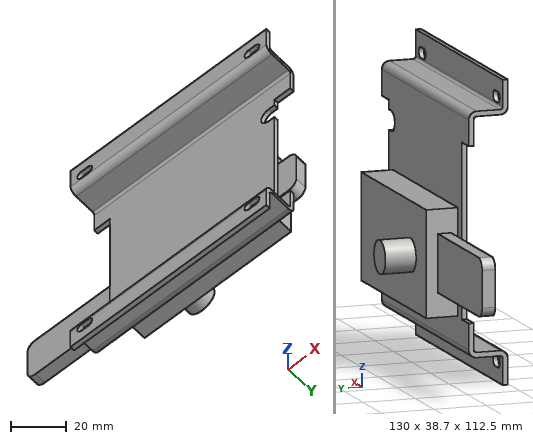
import cadquery as cq

total_length = 130.0
total_depth = 38.7
total_height = 112.5

sheet = 2.0
bend_outer = 3.0
bend_inner = bend_outer - sheet
bracket_left = 36.0
bracket_width = total_length - bracket_left
bracket_depth = 15.0
web_outer = 45.4
half_height = total_height / 2
web_inner = web_outer - sheet
corner_reach = sheet / 4

side_recess = 7.5
recess_half_height = 32.6
slot_length = 7.2
slot_height = 4.0
slot_inset = 6.9
slot_z = 48.8
notch_radius = 3.8
notch_depth = 6.4
notch_z = 25.4

latch_z = -12.2
box_left = 47.8
box_width = 70.3
box_height = 39.9
box_depth = 12.1
bar_length = 129.0
bar_height = 21.7
bar_thickness = 5.1
bar_front = 17.5
bar_corner = 3.9
knob_x = 65.0
knob_diameter = 12.5


def make_box(x, y, z, width, depth, height):
    """Box from its left end, front face and bottom."""
    return cq.Workplane("XY").box(width, depth, height, centered=False).translate((x, y, z))


def make_upper_half():
    """Bent sheet from mid height up to the top lip, without cut-outs."""
    back = bracket_depth
    front = back - sheet
    half = (
        cq.Workplane("YZ")
        .moveTo(front, 0)
        .lineTo(front, web_inner)
        .lineTo(0, web_inner)
        .lineTo(0, half_height)
        .lineTo(sheet, half_height)
        .lineTo(sheet, web_outer)
        .lineTo(back, web_outer)
        .lineTo(back, 0)
        .close()
        .extrude(bracket_width)
        .translate((bracket_left, 0, 0))
    )
    for y, z, radius in (
        (front, web_inner, bend_inner),
        (back, web_outer, bend_outer),
        (sheet, web_outer, bend_inner),
        (0, web_inner, bend_outer),
    ):
        corner = cq.selectors.BoxSelector(
            (bracket_left, y - corner_reach, z - corner_reach),
            (total_length, y + corner_reach, z + corner_reach),
        )
        half = half.edges("|X").edges(corner).fillet(radius)
    return half


def make_bracket():
    upper_half = make_upper_half()
    bracket = upper_half.union(upper_half.mirror("XY"))

    for x in (bracket_left, total_length - side_recess):
        bracket = bracket.cut(
            make_box(x, 0, -recess_half_height, side_recess, bracket_depth, 2 * recess_half_height)
        )

    slot_points = [
        (x, z)
        for x in (bracket_left + slot_inset, total_length - slot_inset)
        for z in (-slot_z, slot_z)
    ]
    slots = cq.Workplane("XZ").pushPoints(slot_points).slot2D(slot_length, slot_height).extrude(-sheet)

    plate_right = total_length - side_recess
    notch_center = plate_right - notch_depth + notch_radius
    notch = cq.Workplane("XZ").center(notch_center, notch_z).circle(notch_radius).extrude(-bracket_depth)
    notch = notch.union(
        make_box(notch_center, 0, notch_z - notch_radius, side_recess, bracket_depth, 2 * notch_radius)
    )
    return bracket.cut(slots).cut(notch)


def make_latch():
    box = make_box(
        box_left, bracket_depth, latch_z - box_height / 2, box_width, box_depth, box_height
    )
    bar = make_box(0, bar_front, latch_z - bar_height / 2, bar_length, bar_thickness, bar_height)
    bar = bar.edges("|Y").fillet(bar_corner)
    knob = (
        cq.Workplane("XZ")
        .center(knob_x, latch_z)
        .circle(knob_diameter / 2)
        .extrude(bracket_depth - total_depth)
        .translate((0, bracket_depth, 0))
    )
    return box.union(bar).union(knob)


result = make_bracket().union(make_latch())